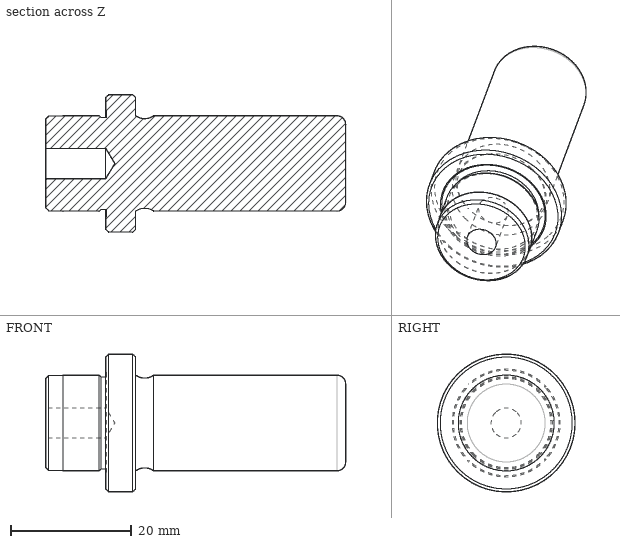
import cadquery as cq
import math

length = 50.0
shank_radius = 8.0
lead_radius = 7.95
lead_length = 2.9
edge_chamfer = 0.5
end_round = 1.5

flange_radius = 11.5
flange_start = 10.0
flange_end = 15.0

undercut_start = 8.9
undercut_depth = 0.3
undercut_face_radius = 9.0
undercut_face_slope = 0.2
undercut_face_depth = 0.1
neck_radius = shank_radius - undercut_depth

groove_width = 3.0
groove_depth = 0.5

bore_radius = 2.5
bore_depth = 10.0
drill_point_angle = 118.0


def turned_body():
    undercut_floor = flange_start + undercut_face_depth
    groove_end = flange_end + groove_width
    groove_middle = flange_end + groove_width / 2
    round_offset = end_round * math.sqrt(0.5)
    round_middle = (
        length - end_round + round_offset,
        shank_radius - end_round + round_offset,
    )
    profile = (
        cq.Workplane("XY")
        .moveTo(0, 0)
        .lineTo(0, lead_radius - edge_chamfer)
        .lineTo(edge_chamfer, lead_radius)
        .lineTo(lead_length, lead_radius)
        .lineTo(lead_length, shank_radius)
        .lineTo(undercut_start, shank_radius)
        .lineTo(undercut_start + undercut_depth, neck_radius)
        .lineTo(undercut_floor, neck_radius)
        .lineTo(undercut_floor, undercut_face_radius - undercut_face_slope)
        .lineTo(flange_start, undercut_face_radius)
        .lineTo(flange_start, flange_radius - edge_chamfer)
        .lineTo(flange_start + edge_chamfer, flange_radius)
        .lineTo(flange_end - edge_chamfer, flange_radius)
        .lineTo(flange_end, flange_radius - edge_chamfer)
        .lineTo(flange_end, shank_radius)
        .threePointArc((groove_middle, shank_radius - groove_depth), (groove_end, shank_radius))
        .lineTo(length - end_round, shank_radius)
        .threePointArc(round_middle, (length, shank_radius - end_round))
        .lineTo(length, 0)
        .close()
    )
    return profile.revolve(360, (0, 0, 0), (1, 0, 0))


def centre_bore():
    point_length = bore_radius / math.tan(math.radians(drill_point_angle / 2))
    profile = (
        cq.Workplane("XY")
        .moveTo(0, 0)
        .lineTo(0, bore_radius)
        .lineTo(bore_depth, bore_radius)
        .lineTo(bore_depth + point_length, 0)
        .close()
    )
    return profile.revolve(360, (0, 0, 0), (1, 0, 0))


result = turned_body().cut(centre_bore())